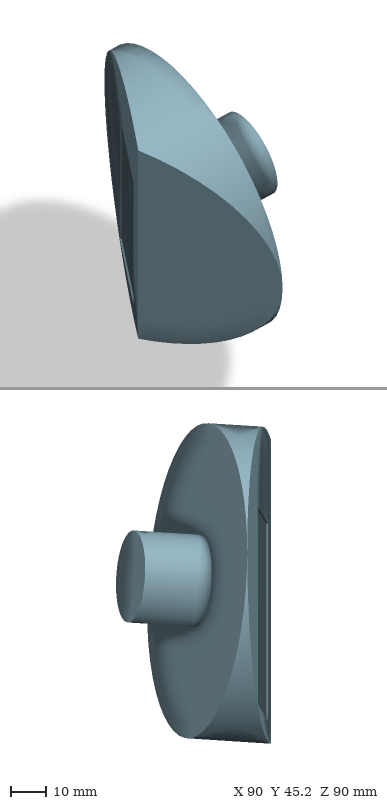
import cadquery as cq
import math

body_diameter = 90
body_radius = body_diameter / 2
ridge_x = 9
ridge_height = 25.2

stem_diameter = 26.3
stem_length = 20.0

pocket_left = -20.2
pocket_right = 1.8
pocket_bottom = -39.0
pocket_top = 18.3
pocket_depth = 0.5

slope_run = body_radius + ridge_x
slope_angle = math.atan2(ridge_height, slope_run)


def make_body():
    """Triangular prism trimmed to a round outline; the flat back lies at Y = 0."""
    wedge = (
        cq.Workplane("XY")
        .polyline([(-body_radius, 0), (ridge_x, -ridge_height), (body_radius, 0)])
        .close()
        .extrude(body_radius, both=True)
    )
    disc = cq.Workplane("XZ").circle(body_radius).extrude(ridge_height)
    return wedge.intersect(disc)


def make_stem():
    return cq.Workplane("XZ").circle(stem_diameter / 2).extrude(-stem_length)


def make_pocket():
    """Block sunk square to the wider face, placed by its X limits on that face."""
    face = cq.Plane(
        origin=(-body_radius, 0, 0),
        xDir=(math.cos(slope_angle), -math.sin(slope_angle), 0),
        normal=(-math.sin(slope_angle), -math.cos(slope_angle), 0),
    )
    start = (pocket_left + body_radius) / math.cos(slope_angle)
    end = (pocket_right + body_radius) / math.cos(slope_angle)
    return (
        cq.Workplane(face)
        .moveTo((start + end) / 2, (pocket_bottom + pocket_top) / 2)
        .rect(end - start, pocket_top - pocket_bottom)
        .extrude(-pocket_depth)
    )


result = make_body().union(make_stem()).cut(make_pocket())